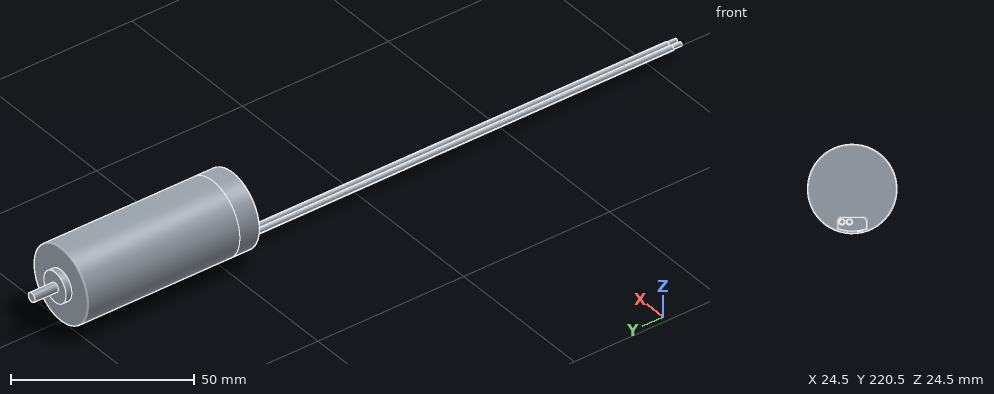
import cadquery as cq

motor_diameter = 24.5
motor_length = 59.0
cap_length = 6.9
front_edge_radius = 0.2
rear_edge_radius = 0.3

boss_diameter = 10.0
boss_length = 2.0

shaft_diameter = 3.0
shaft_projection = 8.0

slot_width = 7.7
slot_top = -7.8
slot_corner_radius = 1.0
slot_rim_thickness = 0.75

wire_diameter = 1.7
wire_pitch = 2.05
conductor_diameter = 1.3
wire_pair_center_x = -1.75
wire_z = -9.0
overall_length = 220.5
stripped_length = 3.0

motor_radius = motor_diameter / 2
cap_front = cap_length - motor_length
cap_rear = -motor_length
wire_tip = boss_length + shaft_projection - overall_length
insulation_end = wire_tip + stripped_length


def rod(diameter, y_start, y_end, x=0, z=0):
    """Cylinder parallel to Y between two Y positions, with y_start above y_end."""
    plane = cq.Workplane("XZ", origin=(x, y_start, z))
    return plane.circle(diameter / 2).extrude(y_start - y_end)


def make_housing():
    can = rod(motor_diameter, 0, cap_front).faces(">Y").edges().fillet(front_edge_radius)
    boss = rod(boss_diameter, boss_length, 0)
    shaft_hole = rod(shaft_diameter, boss_length, 0)
    return can.union(boss).cut(shaft_hole)


def make_shaft():
    return rod(shaft_diameter, boss_length + shaft_projection, 0)


def make_end_cap():
    cap = rod(motor_diameter, cap_front, cap_rear)
    slot_height = slot_top + motor_radius
    slot = (
        cq.Workplane("XY")
        .box(slot_width, cap_length, slot_height, centered=(True, False, False))
        .edges("|Y and >Z")
        .fillet(slot_corner_radius)
        .translate((0, cap_rear, -motor_radius))
    )
    inside_rim = rod(motor_diameter - 2 * slot_rim_thickness, cap_front, cap_rear)
    return cap.cut(slot.intersect(inside_rim)).faces("<Y").edges().fillet(rear_edge_radius)


def make_insulation(x):
    sleeve = rod(wire_diameter, cap_front, insulation_end, x, wire_z)
    bore = rod(conductor_diameter, cap_front, insulation_end, x, wire_z)
    return sleeve.cut(bore)


def make_conductor(x):
    return rod(conductor_diameter, cap_front, wire_tip, x, wire_z)


bodies = [make_housing().val(), make_shaft().val(), make_end_cap().val()]
for side in (-1, 1):
    wire_x = wire_pair_center_x + side * wire_pitch / 2
    bodies.append(make_insulation(wire_x).val())
    bodies.append(make_conductor(wire_x).val())

result = cq.Compound.makeCompound(bodies)